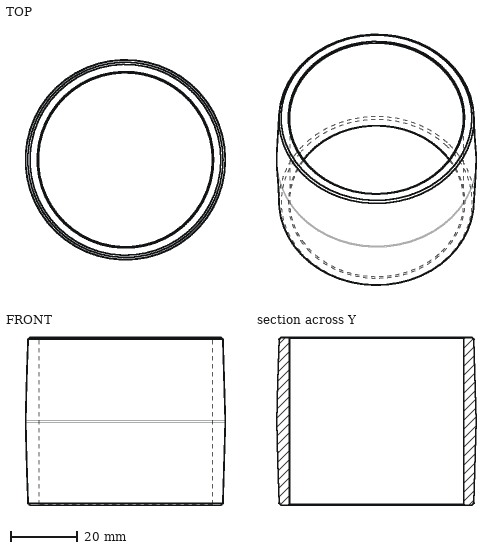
import cadquery as cq

height = 50.8
band_radius = 30.2
end_radius = 29.5
bore_radius = 26.3
band_width = 0.65
outer_chamfer = 0.65
bore_chamfer = 0.35

half_height = height / 2
half_band = band_width / 2
taper_end = half_height - outer_chamfer
face_radius = end_radius - outer_chamfer

outer_profile = [
    (0, half_height),
    (face_radius, half_height),
    (end_radius, taper_end),
    (band_radius, half_band),
    (band_radius, -half_band),
    (end_radius, -taper_end),
    (face_radius, -half_height),
    (0, -half_height),
]

body = cq.Workplane("XZ").polyline(outer_profile).close().revolve(360, (0, 0, 0), (0, 1, 0))

bore = cq.Workplane("XY").circle(bore_radius).extrude(half_height, both=True)
sleeve = body.cut(bore)
bore_mouths = sleeve.edges(cq.selectors.RadiusNthSelector(0)).edges("%CIRCLE")
result = bore_mouths.chamfer(bore_chamfer)